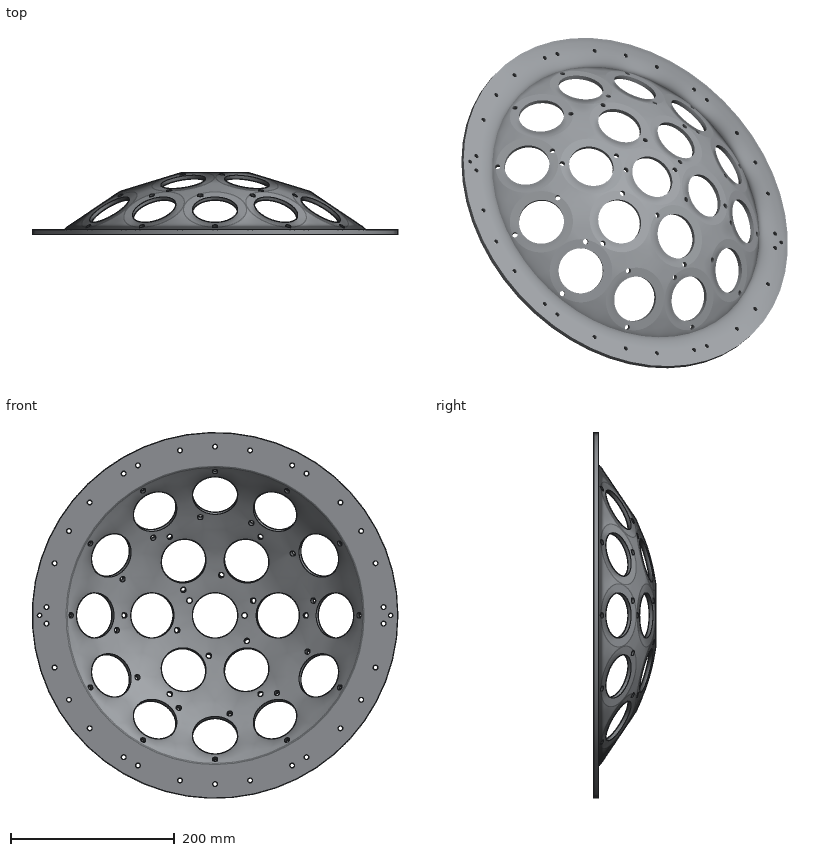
import cadquery as cq
import math

flange_radius = 223.0
flange_thickness = 6.0
overall_depth = 75.86
mouth_fillet_radius = 2.0

seat_distance = 266.0
seat_radius = 38.5
seat_cut_margin = 1.0
wall_thickness = 3.5
outer_sphere_radius = math.hypot(seat_distance, seat_radius)
inner_sphere_radius = seat_distance - wall_thickness
sphere_center_y = overall_depth - seat_distance

window_radius = 27.5
seat_screw_radius = 3.25
seat_screw_circle = 36.0
seat_screw_angles = (0.0, 150.0)
ring_tilt = 17.0
seat_rings = ((0.0, 1), (ring_tilt, 6), (2 * ring_tilt, 12))

fixing_hole_radius = 2.75
fixing_circle = 205.7
fixing_sector = 60
fixing_triple_pitch = 12.0
fixing_pair_half_angle = 2.8
locating_circle = 214.0
locating_hole_radius = 2.5

seat_cut_reach = 30.0


def front_disc(radius, length):
    """Disc standing on the front plane and reaching towards +Y."""
    return cq.Workplane("XZ").circle(radius).extrude(-length)


def sphere(radius):
    """Ball about the common centre of the dome surfaces."""
    return cq.Workplane("XY").sphere(radius).translate((0, sphere_center_y, 0))


def seat_plane(tilt, azimuth):
    """Plane of one seat: normal outward, local X pointing away from the dome axis."""
    t = math.radians(tilt)
    a = math.radians(azimuth)
    normal = (math.sin(t) * math.cos(a), math.cos(t), math.sin(t) * math.sin(a))
    outward = (math.cos(t) * math.cos(a), -math.sin(t), math.cos(t) * math.sin(a))
    origin = (
        seat_distance * normal[0],
        sphere_center_y + seat_distance * normal[1],
        seat_distance * normal[2],
    )
    return cq.Plane(origin=origin, xDir=outward, normal=normal)


def seat_cutter(tilt, azimuth):
    """Material removed at one seat: flat face, window and screw holes."""
    seat = cq.Workplane(seat_plane(tilt, azimuth))
    screw_points = [
        polar_point(seat_screw_circle, -angle)
        for angle in seat_screw_angles
    ]
    flat = seat.circle(seat_radius + seat_cut_margin).extrude(seat_cut_reach)
    window = seat.circle(window_radius).extrude(seat_cut_reach, both=True)
    screws = seat.pushPoints(screw_points).circle(seat_screw_radius).extrude(seat_cut_reach, both=True)
    return flat.union(window).union(screws)


def polar_point(radius, angle):
    """Point at a radius and an angle in degrees."""
    a = math.radians(angle)
    return (radius * math.cos(a), radius * math.sin(a))


def fixing_hole_points():
    """Centres of the pairs and triples of fixing holes."""
    points = []
    for sector in range(0, 360, fixing_sector):
        for offset in (-fixing_pair_half_angle, fixing_pair_half_angle):
            points.append(polar_point(fixing_circle, sector + offset))
        for offset in (-fixing_triple_pitch, 0, fixing_triple_pitch):
            points.append(polar_point(fixing_circle, sector + fixing_sector / 2 + offset))
    return points


def flange_holes():
    """Material removed from the flange by its fixing and locating holes."""
    locating_points = [polar_point(locating_circle, angle) for angle in (0, 180)]
    locating = cq.Workplane("XZ").pushPoints(locating_points).circle(locating_hole_radius)
    fixing = cq.Workplane("XZ").pushPoints(fixing_hole_points()).circle(fixing_hole_radius)
    return fixing.extrude(-flange_thickness).add(locating.extrude(-flange_thickness)).combine()


def plain_shell():
    """Flange and hollow dome with a rounded mouth edge, before any seats and holes."""
    dome = front_disc(flange_radius, 2 * overall_depth).intersect(sphere(outer_sphere_radius))
    flange = front_disc(flange_radius, flange_thickness)
    shell = dome.union(flange).cut(sphere(inner_sphere_radius))
    mouth_edge = cq.selectors.RadiusNthSelector(0)
    return shell.faces("<Y").edges(mouth_edge).fillet(mouth_fillet_radius)


result = plain_shell().cut(flange_holes())
for tilt, count in seat_rings:
    for index in range(count):
        result = result.cut(seat_cutter(tilt, index * 360 / count))